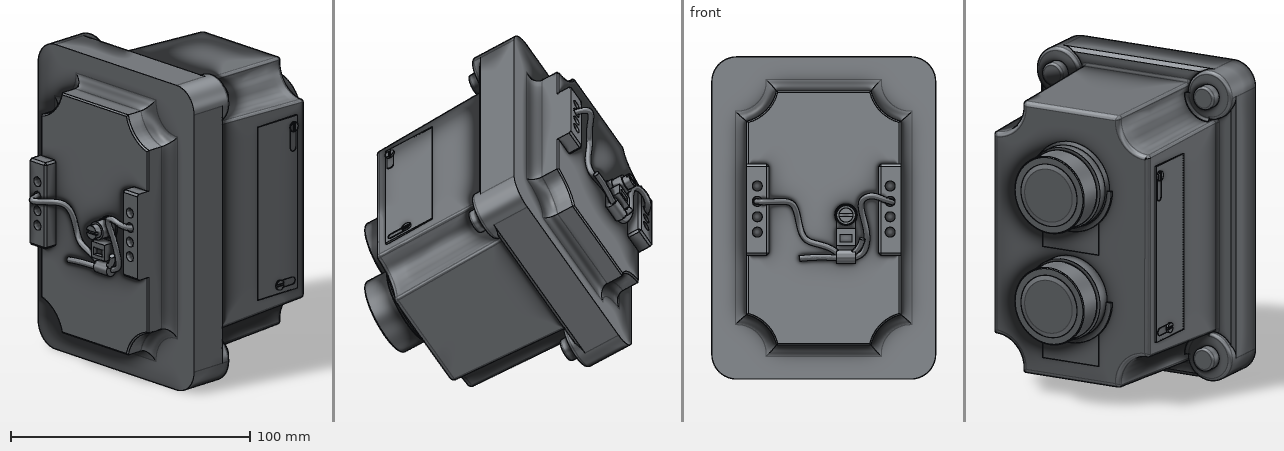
import cadquery as cq


overlap = 1.3
pick_margin = 0.1

flange_width, flange_height = 93.7, 134.9
corner_radius = 10.5
flange_depth = 18.1
flange_chamfer = 1.6
pad_depth = 21.0
pad_edge = 1.3
corner_x = flange_width / 2 - corner_radius
corner_z = flange_height / 2 - corner_radius

bolt_radius = 5.0
bolt_head = 5.0
bolt_edge = 1.0

platform_half_x, platform_half_z = 32.2, 53.1
platform_depth = 12.7
platform_notch = 17.0
platform_chamfer = 0.7
cove_radius = 4.7

base_half_x, base_half_z = 38.6, 60.7
back_half_x, back_half_z = 37.4, 59.1
base_notch, back_notch = 10.9, 13.1
housing_back = 73.9
back_edge = 1.9
housing_edge = 1.1
housing_foot = 1.2

plate_front, plate_back = 45.6, 68.5
plate_half_z = 38.3
plate_face_x = 38.3
screw_face_x = 39.0
screw_radius = 2.2
screw_slot_width = 0.8
screw_slot_depth = 0.4
plate_slot_width = 3.2
plate_slot_floor_x = 38.0
upper_slot_y = 66.2
upper_slot_top_z, upper_slot_end_z = 33.7, 22.8
lower_slot_z = -34.4
lower_screw_y, lower_slot_end_y = 58.0, 67.3

connector_heights = (26.3, -22.1)
collar_radius, collar_end = 17.5, 80.0
neck_radius, neck_end = 15.9, 81.2
barrel_radius, barrel_end = 16.7, 92.3
barrel_edge = 0.4
dome_radius, dome_top = 13.5, 92.8
dome_chamfer_run, dome_chamfer_rise = 2.0, 0.4
flare_radius, flare_depth = 18.7, 1.8
tab_radius, tab_thickness = 20.1, 1.1
label_width, label_thickness = 27.0, 0.4
label_bottom = 28.7

terminal_inner_x = 22.9
terminal_top, terminal_bottom = 22.5, -15.6
terminal_height = 6.2
terminal_chamfer = 1.0
terminal_hole_x = 27.8
terminal_hole_diameter = 4.2
terminal_hole_depth = 4.7
terminal_hole_top, terminal_hole_bottom = 13.4, -6.0
terminal_holes = 4
terminal_pitch = (terminal_hole_top - terminal_hole_bottom) / (terminal_holes - 1)

stud_x, stud_z = 9.3, 1.2
stud_steps = ((4.7, 0.8), (4.3, 3.1), (3.9, 7.7), (3.0, 10.8))
stud_slot_width, stud_slot_depth = 1.2, 1.1
clamp_width = 7.8
strap_thickness = 1.1
clamp_top, clamp_bottom = -4.5, -11.6
clamp_height = 6.9
window_width, window_top, window_bottom = 5.1, -6.9, -10.0
window_depth = 2.0
loop_radius, loop_height, loop_z = 2.8, 2.8, -16.3

wire_radius = 1.2


def bar(x_range, y_range, z_range):
    """Box given by its two limits along each axis."""
    limits = (x_range, y_range, z_range)
    sizes = [abs(high - low) for low, high in limits]
    center = tuple((low + high) / 2 for low, high in limits)
    return cq.Workplane("XY").box(*sizes).translate(center)


def rod(radius, x, z, y_start, y_end):
    """Cylinder along Y."""
    plane = cq.Workplane("XZ", origin=(x, y_start, z))
    return plane.circle(radius).extrude(y_start - y_end)


def four_corners(shape):
    """The shape in the +X +Z corner and its three mirror copies."""
    pair = shape.union(shape.mirror("YZ"))
    return pair.union(pair.mirror("XY"))


def corner_notches(y_start, radius_start, y_end, radius_end):
    """Round notches, straight or conical, centred on the flange corners."""
    start = cq.Workplane("XZ", origin=(corner_x, y_start, corner_z)).circle(radius_start)
    return four_corners(start.workplane(offset=y_start - y_end).circle(radius_end).loft(ruled=True))


def make_flange():
    wide = bar((-flange_width / 2, flange_width / 2), (0, flange_depth), (-corner_z, corner_z))
    tall = bar((-corner_x, corner_x), (0, flange_depth), (-flange_height / 2, flange_height / 2))
    wide = wide.faces(">Y").edges("|Z").chamfer(flange_chamfer)
    tall = tall.faces(">Y").edges("|X").chamfer(flange_chamfer)
    pad = rod(corner_radius, corner_x, corner_z, 0, pad_depth).faces(">Y").edges().fillet(pad_edge)
    return wide.union(tall).union(four_corners(pad)).clean()


def make_bolts():
    head = rod(bolt_radius, corner_x, corner_z, flange_depth, pad_depth + bolt_head)
    return four_corners(head.faces(">Y").edges().fillet(bolt_edge))


def add_platform(body):
    block = bar(
        (-platform_half_x, platform_half_x),
        (-platform_depth, overlap / 2),
        (-platform_half_z, platform_half_z),
    )
    block = block.cut(corner_notches(-platform_depth - overlap, platform_notch, overlap, platform_notch))
    block = block.faces("<Y").edges().chamfer(platform_chamfer)
    body = body.union(block)
    reach_x, reach_z = platform_half_x + pick_margin, platform_half_z + pick_margin
    root = cq.selectors.BoxSelector((-reach_x, -pick_margin, -reach_z), (reach_x, pick_margin, reach_z))
    return body.edges(root).fillet(cove_radius)


def make_housing():
    base = flange_depth - overlap
    shell = (
        cq.Workplane("XZ", origin=(0, base, 0))
        .rect(2 * base_half_x, 2 * base_half_z)
        .workplane(offset=base - housing_back)
        .rect(2 * back_half_x, 2 * back_half_z)
        .loft(ruled=True)
    )
    shell = shell.cut(corner_notches(base, base_notch, housing_back, back_notch))
    lengthwise = shell.edges("not (<Y or >Y)")
    sharp = lengthwise.filter(lambda e: abs(e.Center().z) > corner_z or abs(e.Center().x) > corner_x)
    shell = shell.newObject(sharp.vals()).fillet(housing_edge)
    return shell.faces(">Y").edges().fillet(back_edge)


def add_foot(housing):
    """Round the housing into the flange face and into the tops of the corner pads."""
    sole_half_x, sole_half_z = base_half_x + 2 * housing_foot, base_half_z + 2 * housing_foot
    sole = bar(
        (-sole_half_x, sole_half_x),
        (flange_depth - overlap, flange_depth),
        (-sole_half_z, sole_half_z),
    )
    footed = housing.union(sole)
    reach_x, reach_z = base_half_x + pick_margin, base_half_z + pick_margin
    low, high = flange_depth - pick_margin, flange_depth + pick_margin
    root = cq.selectors.BoxSelector((-reach_x, low, -reach_z), (reach_x, high, reach_z))
    footed = footed.edges(root).fillet(housing_foot)

    ring_top = pad_depth + housing_foot
    ring = rod(base_notch + overlap, corner_x, corner_z, flange_depth, ring_top)
    ring = ring.intersect(bar((0, corner_x), (flange_depth, ring_top), (0, corner_z)))
    hollow = rod(base_notch, corner_x, corner_z, pad_depth, ring_top + overlap)
    ring = ring.cut(hollow.faces("<Y").edges().fillet(housing_foot))
    return footed.union(four_corners(ring))


def make_side_plate():
    inside = back_half_x - 2 * overlap
    plate = bar((inside, plate_face_x), (plate_front, plate_back), (-plate_half_z, plate_half_z))

    def on_side(x, y, z):
        return cq.Workplane("YZ", origin=(x, y, z))

    upper_length = upper_slot_top_z - upper_slot_end_z
    upper_center = (upper_slot_top_z + upper_slot_end_z) / 2
    upper = on_side(plate_slot_floor_x, upper_slot_y, upper_center).slot2D(upper_length, plate_slot_width, 90)
    plate = plate.cut(upper.extrude(overlap))
    lower_length = lower_slot_end_y - lower_screw_y
    lower_center = (lower_screw_y + lower_slot_end_y) / 2
    lower = on_side(plate_slot_floor_x, lower_center, lower_slot_z).slot2D(lower_length, plate_slot_width)
    plate = plate.cut(lower.extrude(overlap))

    slot_floor = screw_face_x - screw_slot_depth
    long_side = 2 * screw_radius
    screws = (
        (upper_slot_y, upper_slot_top_z, screw_slot_width, long_side),
        (lower_screw_y, lower_slot_z, long_side, screw_slot_width),
    )
    for y, z, slot_y, slot_z in screws:
        plate = plate.union(on_side(inside, y, z).circle(screw_radius).extrude(screw_face_x - inside))
        plate = plate.cut(on_side(slot_floor, y, z).rect(slot_y, slot_z).extrude(overlap))
    return plate


def make_connector(z):
    root = housing_back - overlap
    shape = rod(collar_radius, 0, z, root, collar_end)
    shape = shape.union(rod(neck_radius, 0, z, root, neck_end))
    barrel = rod(barrel_radius, 0, z, neck_end, barrel_end).faces(">Y").edges().chamfer(barrel_edge)
    shape = shape.union(barrel)
    dome = rod(dome_radius, 0, z, neck_end, dome_top)
    dome = dome.faces(">Y").edges().chamfer(dome_chamfer_rise, dome_chamfer_run)
    shape = shape.union(dome)
    tab = rod(tab_radius, 0, z, root, housing_back + tab_thickness)
    tab = tab.cut(bar((-tab_radius, tab_radius), (root, collar_end), (z, z + tab_radius)))
    label = bar(
        (-label_width / 2, label_width / 2),
        (root, housing_back + label_thickness),
        (z - label_bottom, z),
    )
    return shape.union(tab).union(label)


def make_flare():
    """Cone between the upper connector and the housing."""
    ring = cq.Workplane("XZ", origin=(0, housing_back, connector_heights[0])).circle(flare_radius)
    return ring.workplane(offset=-flare_depth).circle(collar_radius).loft()


def make_terminal():
    """Terminal strip on the +X edge of the platform."""
    face = -platform_depth - terminal_height
    strip = bar(
        (terminal_inner_x, platform_half_x),
        (face, -platform_depth + overlap),
        (terminal_bottom, terminal_top),
    )
    strip = strip.edges("<Y or (<X and |Y)").edges("not >X").chamfer(terminal_chamfer)
    for index in range(terminal_holes):
        hole_z = terminal_hole_top - index * terminal_pitch
        hole = rod(terminal_hole_diameter / 2, terminal_hole_x, hole_z, face, face + terminal_hole_depth)
        strip = strip.cut(hole)
    return strip


def make_stud():
    face = -platform_depth
    stud = rod(stud_steps[0][0], stud_x, stud_z, face + overlap, face)
    for radius, height in stud_steps:
        stud = stud.union(rod(radius, stud_x, stud_z, face, face - height))
    tip = face - stud_steps[-1][1]
    slot = bar(
        (stud_x - stud_steps[0][0], stud_x + stud_steps[0][0]),
        (tip, tip + stud_slot_depth),
        (stud_z - stud_slot_width / 2, stud_z + stud_slot_width / 2),
    )
    return stud.cut(slot)


def make_clamp():
    sides = (stud_x - clamp_width / 2, stud_x + clamp_width / 2)
    face = -platform_depth
    strap = bar(sides, (face - strap_thickness, face + overlap), (loop_z, stud_z))
    block = bar(sides, (face - clamp_height, face + overlap), (clamp_bottom, clamp_top))
    window = bar(
        (stud_x - window_width / 2, stud_x + window_width / 2),
        (face - clamp_height, face - clamp_height + window_depth),
        (window_bottom, window_top),
    )
    loop = (
        cq.Workplane("YZ", origin=(sides[0], face - loop_height, loop_z))
        .circle(loop_radius)
        .extrude(clamp_width)
    )
    web = bar(sides, (face - loop_height, face), (loop_z, clamp_bottom))
    return strap.union(block.cut(window)).union(loop).union(web)


def make_wire(points):
    path = cq.Workplane("XY").spline([cq.Vector(*p) for p in points])
    start = cq.Vector(*points[0])
    plane = cq.Plane(origin=start, normal=path.val().tangentAt(0))
    return cq.Workplane(plane).circle(wire_radius).sweep(path, transition="round")


left_wire = (
    (-27.8, -14.0, 6.9), (-27.8, -20.0, 6.9), (-26.0, -23.6, 6.7), (-18.6, -19.7, 6.9),
    (-13.4, -16.5, 6.0), (-10.8, -14.2, 0.0), (-7.3, -13.9, -9.0), (-1.6, -15.1, -11.2), (6.2, -15.5, -15.2),
)
right_wire = (
    (27.8, -14.0, 6.9), (27.6, -19.4, 6.9), (25.6, -21.0, 7.5), (20.2, -21.6, 9.2),
    (16.6, -20.5, 8.0), (16.6, -18.1, 0.0), (18.1, -16.6, -8.8), (16.7, -14.8, -14.0), (12.4, -14.8, -16.6),
)
loose_end = ((-10.1, -17.7, -17.0), (0.0, -17.1, -16.5), (8.1, -15.9, -17.0))
clamp_stub = ((16.2, -18.0, -8.8), (14.3, -16.6, -12.8), (10.8, -16.2, -15.6))

side_plate = make_side_plate()
terminal = make_terminal()
fittings = make_stud().union(make_clamp()).add(terminal).add(terminal.mirror("YZ"))
for points in (left_wire, right_wire, loose_end, clamp_stub):
    fittings = fittings.add(make_wire(points))
fittings = fittings.combine()

result = add_platform(make_flange()).union(add_foot(make_housing()))
for feature in (side_plate, side_plate.mirror("YZ"), make_bolts(), make_flare()):
    result = result.union(feature)
for height in connector_heights:
    result = result.union(make_connector(height))
result = result.union(fittings)